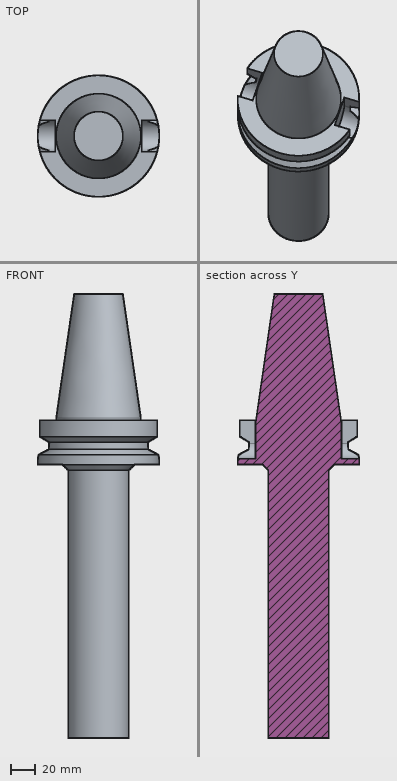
import cadquery as cq

total_height = 364.8
taper_length = 101.8
gauge_gap = 2.0
flange_thickness = 36.5
gauge_z = total_height - taper_length
flange_top_z = gauge_z - gauge_gap
flange_bottom_z = flange_top_z - flange_thickness

shank_diameter = 50.0
collar_diameter = 60.0
flange_diameter = 100.0
groove_diameter = 85.5
taper_large_diameter = 69.5
taper_small_diameter = 40.0

collar_height = 4.7

groove_start = 13.5
groove_root_start = 18.2
groove_root_end = 24.0
groove_end = 28.5

slot_width = 25.5
slot_depth = 31.7
slot_floor_distance = 35.5


def make_body():
    """Revolve the half profile of shank, flange and taper about Z."""
    flange_radius = flange_diameter / 2
    groove_radius = groove_diameter / 2
    taper_large_radius = taper_large_diameter / 2
    profile = [
        (0, 0),
        (shank_diameter / 2, 0),
        (shank_diameter / 2, flange_bottom_z - collar_height),
        (collar_diameter / 2, flange_bottom_z),
        (flange_radius, flange_bottom_z),
        (flange_radius, flange_top_z - groove_end),
        (groove_radius, flange_top_z - groove_root_end),
        (groove_radius, flange_top_z - groove_root_start),
        (flange_radius, flange_top_z - groove_start),
        (flange_radius, flange_top_z),
        (taper_large_radius, flange_top_z),
        (taper_large_radius, gauge_z),
        (taper_small_diameter / 2, total_height),
        (0, total_height),
    ]
    return cq.Workplane("XZ").polyline(profile).close().revolve(360, (0, 0), (0, 1))


def make_slot_cutter():
    """Round-bottomed slot, open at the flange top and rim, on the +X side."""
    half_width = slot_width / 2
    slot_bottom_z = flange_top_z - slot_depth
    arc_center_z = slot_bottom_z + half_width
    return (
        cq.Workplane("YZ", origin=(slot_floor_distance, 0, 0))
        .moveTo(-half_width, flange_top_z)
        .lineTo(-half_width, arc_center_z)
        .threePointArc((0, slot_bottom_z), (half_width, arc_center_z))
        .lineTo(half_width, flange_top_z)
        .close()
        .extrude(flange_diameter / 2)
    )


result = make_body()
for angle in (0, 180):
    slot_cutter = make_slot_cutter().rotate((0, 0, 0), (0, 0, 1), angle)
    result = result.cut(slot_cutter)